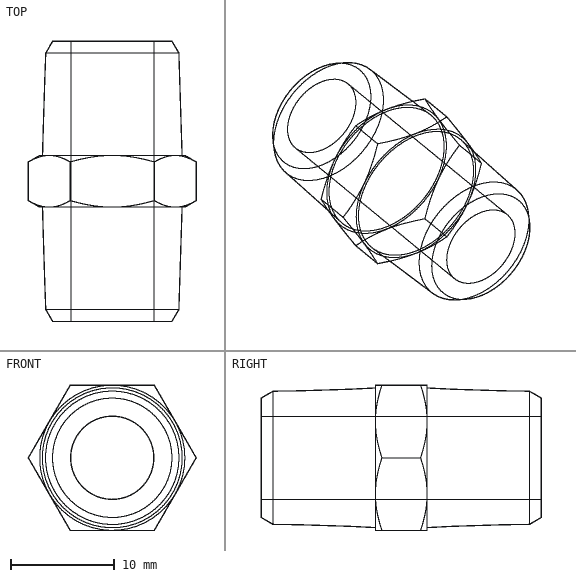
import cadquery as cq
import math

length = 27.0
bore_diameter = 8.0

hex_flats = 14.0
hex_corners = hex_flats / math.cos(math.radians(30))
hex_thickness = 5.0
hex_chamfer_angle = 30.0
hex_face_diameter = 13.99

root_diameter = 13.47
shoulder_diameter = 12.85
tip_diameter = 11.5
tip_chamfer_length = 1.15


def revolve_about_y(outline):
    """Turn a closed outline of (radius, y) points about the Y axis."""
    return cq.Workplane("XY").polyline(outline).close().revolve(360, (0, 0, 0), (0, 1, 0))


def make_hexagon():
    """Hexagon with corners on X, its corners turned to a cone at both faces."""
    prism = (
        cq.Workplane("XZ")
        .polygon(6, hex_corners)
        .extrude(hex_thickness / 2, both=True)
    )
    half = hex_thickness / 2
    face_radius = hex_face_diameter / 2
    corner_radius = hex_corners / 2
    chamfer_drop = (corner_radius - face_radius) * math.tan(math.radians(hex_chamfer_angle))
    rim_radius = corner_radius + (half - chamfer_drop) / math.tan(math.radians(hex_chamfer_angle))
    envelope = revolve_about_y(
        [(0, -half), (face_radius, -half), (rim_radius, 0), (face_radius, half), (0, half)]
    )
    return prism.intersect(envelope)


def make_tapered_body():
    """Both male ends as one turned shape, widest inside the hexagon."""
    end = length / 2
    root = hex_thickness / 2
    shoulder = end - tip_chamfer_length
    upper = [
        (root_diameter / 2, root),
        (shoulder_diameter / 2, shoulder),
        (tip_diameter / 2, end),
        (0, end),
    ]
    lower = [(radius, -y) for radius, y in reversed(upper)]
    return revolve_about_y(lower + upper)


bore = cq.Workplane("XZ").circle(bore_diameter / 2).extrude(length / 2, both=True)

result = make_tapered_body().union(make_hexagon()).cut(bore)